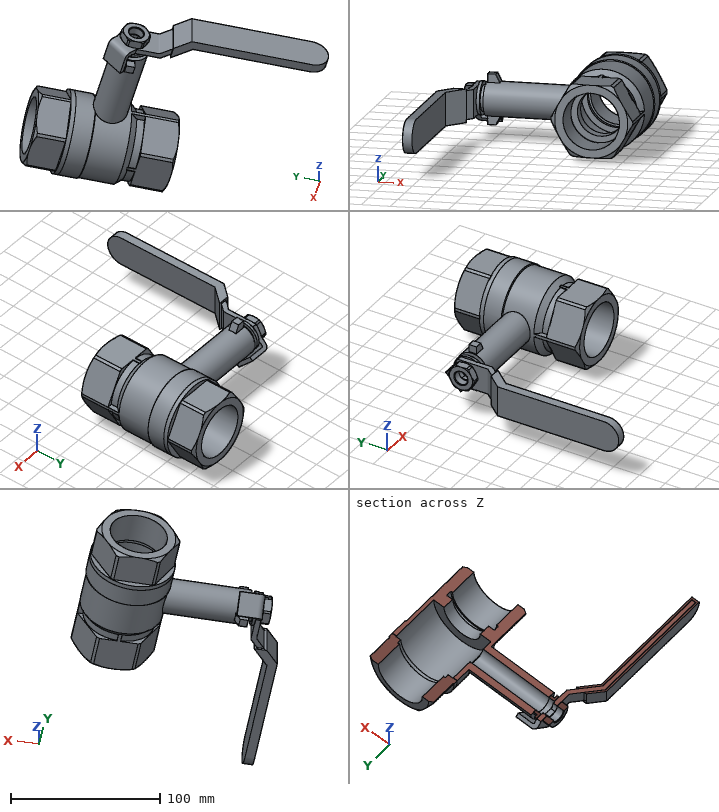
import cadquery as cq
import math


BODY_HALF_LENGTH = 48.8
BODY_DIAMETER = 56.5
COLLAR_DIAMETER = 58.0
COLLAR_START_Y = 10.5
COLLAR_BEVEL = 0.5
CAP_JOINT_Y = 24.0
CAP_FLANGE_THICKNESS = 3.2
CONE_START_Y = -14.8
CONE_END_Y = -19.3
WAIST_DIAMETER = 49.0
BODY_HEX_START_Y = -24.5
HEX_FLATS = 50.0
HEX_FACE_DIAMETER = 50.5
HEX_CHAMFER_ANGLE = 30.0
RIB_WIDTH = 2.5
PASSAGE_DIAMETER = 32.0
SOCKET_DIAMETER = 39.0
SOCKET_DEPTH = 21.8
RELIEF_DIAMETER = 42.0
RELIEF_WIDTH = 4.0
CAVITY_DIAMETER = 50.5
CAVITY_START_Y = -14.3

NECK_DIAMETER = 24.0
NECK_END_X = -84.0
SPINDLE_BORE = 13.0
LUG_WIDTH = 5.9
LUG_HEIGHT = 17.5
LUG_START_X = -83.2
LUG_TOP_END_X = -77.6
LUG_FOOT_END_X = -74.8

BUSHING_DIAMETER = 18.0
BUSHING_GAP = 2.7
BUSHING_FLANGE_DIAMETER = 23.0
BUSHING_FLANGE_THICKNESS = 2.1
HANDLE_THICKNESS = 3.8
NUT_THICKNESS = 5.9
NUT_FLATS = 18.0
NUT_DIAMETER = 20.0
NUT_CHAMFER_ANGLE = 30.0
NUT_HOLE = 10.0
NUT_HOLE_CHAMFER = 0.5

HANDLE_WIDTH = 20.0
HEAD_CORNER_Y = 6.3
HEAD_TOP_Y = 11.6
HANDLE_HOLE_DIAMETER = 10.0
HANDLE_HOLE_FLATS = 8.2
UPPER_BEND_Y = -18.2
LOWER_BEND_Y = -36.7
BEND_INNER_RADIUS = 1.6
TAB_WIDTH = 16.5
TAB_REACH = 15.7
TAB_THICKNESS = 3.2
TAB_END_X = -75.1
TAB_ANGLE = 45.0
FOLD_OUTER_RADIUS = 4.0
FOLD_INNER_RADIUS = 0.9
GRIP_WALL = 1.5
GRIP_SIDE_WALL = 1.6
GRIP_START_Y = -25.0
GRIP_LEFT_X = -110.0
GRIP_END_Y = -130.0

BUSHING_FLANGE_X = NECK_END_X - BUSHING_GAP
HANDLE_INNER_X = BUSHING_FLANGE_X - BUSHING_FLANGE_THICKNESS
HANDLE_OUTER_X = HANDLE_INNER_X - HANDLE_THICKNESS
HANDLE_MIDDLE_X = (HANDLE_INNER_X + HANDLE_OUTER_X) / 2
GRIP_THICKNESS = HANDLE_THICKNESS + 2 * GRIP_WALL
GRIP_WIDTH = HANDLE_WIDTH + 2 * GRIP_SIDE_WALL
GRIP_MIDDLE_X = GRIP_LEFT_X + GRIP_THICKNESS / 2
HANDLE_END_Y = GRIP_END_Y + GRIP_SIDE_WALL


def rod_y(diameter, start, end):
    """Cylinder on the Y axis between two Y positions."""
    plane = cq.Workplane("XZ", origin=(0, start, 0))
    return plane.circle(diameter / 2).extrude(start - end)


def rod_x(diameter, start, end):
    """Cylinder on the X axis between two X positions."""
    return cq.Workplane("YZ", origin=(start, 0, 0)).circle(diameter / 2).extrude(end - start)


def turned_y(points):
    """Solid of revolution about the Y axis from (radius, y) points."""
    return cq.Workplane("XY").polyline(points).close().revolve(360, (0, 0, 0), (0, 1, 0))


def hex_corner_diameter(flats):
    return flats / math.cos(math.radians(30))


def hex_prism_y(start, end):
    plane = cq.Workplane("XZ", origin=(0, start, 0))
    return plane.polygon(6, hex_corner_diameter(HEX_FLATS)).extrude(start - end)


def hex_end(start, end):
    """Socket hexagon with rounded corners, chamfered around its outer end."""
    outer = BODY_DIAMETER / 2
    face = HEX_FACE_DIAMETER / 2
    drop = (outer - face) * math.tan(math.radians(HEX_CHAMFER_ANGLE))
    chamfer_y = end - math.copysign(drop, end)
    envelope = turned_y([(0, start), (outer, start), (outer, chamfer_y), (face, end), (0, end)])
    return hex_prism_y(start, end).intersect(envelope)


def socket(end):
    """Socket bore running inward from an end of the valve to a wider thread relief."""
    inward = -math.copysign(1, end)
    bore_end = end + inward * SOCKET_DEPTH
    relief_end = bore_end + inward * RELIEF_WIDTH
    return rod_y(SOCKET_DIAMETER, end, bore_end).union(rod_y(RELIEF_DIAMETER, bore_end, relief_end))


def waist_ribs():
    """Four ribs around the waist, bounded outside by the socket hexagon."""
    length = CONE_START_Y - BODY_HEX_START_Y
    middle = (CONE_START_Y + BODY_HEX_START_Y) / 2
    flat = cq.Workplane("XY").box(BODY_DIAMETER, length, RIB_WIDTH)
    upright = cq.Workplane("XY").box(RIB_WIDTH, length, BODY_DIAMETER)
    cross = flat.union(upright).translate((0, middle, 0))
    limit = hex_prism_y(BODY_HEX_START_Y, CONE_START_Y)
    return cross.intersect(limit).intersect(rod_y(BODY_DIAMETER, BODY_HEX_START_Y, CONE_START_Y))


def stop_lugs():
    """Two lugs on opposite sides of the neck, each sloping down to it."""
    foot = NECK_DIAMETER / 2
    root = (NECK_DIAMETER + SPINDLE_BORE) / 4
    slope = (LUG_FOOT_END_X - LUG_TOP_END_X) / (LUG_HEIGHT - foot)
    outline = [
        (LUG_START_X, root),
        (LUG_START_X, LUG_HEIGHT),
        (LUG_TOP_END_X, LUG_HEIGHT),
        (LUG_FOOT_END_X + (foot - root) * slope, root),
    ]
    lug = cq.Workplane("XZ").polyline(outline).close().extrude(LUG_WIDTH / 2, both=True)
    return lug.union(lug.mirror("XY"))


def make_body():
    radius = BODY_DIAMETER / 2
    collar = COLLAR_DIAMETER / 2
    waist = WAIST_DIAMETER / 2
    shell = turned_y([
        (0, BODY_HEX_START_Y),
        (waist, BODY_HEX_START_Y),
        (waist, CONE_END_Y),
        (radius, CONE_START_Y),
        (radius, COLLAR_START_Y - COLLAR_BEVEL),
        (collar, COLLAR_START_Y),
        (collar, CAP_JOINT_Y),
        (0, CAP_JOINT_Y),
    ])
    body = shell.union(waist_ribs()).union(hex_end(BODY_HEX_START_Y, -BODY_HALF_LENGTH))
    body = body.union(rod_x(NECK_DIAMETER, NECK_END_X, 0)).union(stop_lugs())
    body = body.cut(rod_y(PASSAGE_DIAMETER, -BODY_HALF_LENGTH, CAP_JOINT_Y))
    body = body.cut(rod_y(CAVITY_DIAMETER, CAVITY_START_Y, CAP_JOINT_Y))
    body = body.cut(socket(-BODY_HALF_LENGTH))
    return body.cut(rod_x(SPINDLE_BORE, NECK_END_X, 0))


def make_cap():
    flange_end = CAP_JOINT_Y + CAP_FLANGE_THICKNESS
    flange = rod_y(COLLAR_DIAMETER, CAP_JOINT_Y, flange_end)
    cap = flange.union(hex_end(flange_end, BODY_HALF_LENGTH))
    cap = cap.cut(rod_y(PASSAGE_DIAMETER, CAP_JOINT_Y, BODY_HALF_LENGTH))
    return cap.cut(socket(BODY_HALF_LENGTH))


def make_bushing():
    flange = rod_x(BUSHING_FLANGE_DIAMETER, HANDLE_INNER_X, BUSHING_FLANGE_X)
    bushing = flange.union(rod_x(BUSHING_DIAMETER, BUSHING_FLANGE_X, NECK_END_X))
    return bushing.cut(rod_x(SPINDLE_BORE, HANDLE_INNER_X, NECK_END_X))


def bent_strip(thickness, end_y):
    """Side profile of the handle, thickened about its bent centre line."""
    half = thickness / 2
    bend = math.atan2(HANDLE_MIDDLE_X - GRIP_MIDDLE_X, UPPER_BEND_Y - LOWER_BEND_Y)
    miter = half * math.tan(bend / 2)
    outline = [
        (HANDLE_MIDDLE_X - half, 0),
        (HANDLE_MIDDLE_X - half, UPPER_BEND_Y + miter),
        (GRIP_MIDDLE_X - half, LOWER_BEND_Y + miter),
        (GRIP_MIDDLE_X - half, end_y),
        (GRIP_MIDDLE_X + half, end_y),
        (GRIP_MIDDLE_X + half, LOWER_BEND_Y - miter),
        (HANDLE_MIDDLE_X + half, UPPER_BEND_Y - miter),
        (HANDLE_MIDDLE_X + half, 0),
    ]
    return cq.Workplane("XY").polyline(outline).close().extrude(GRIP_WIDTH, both=True)


def round_ended(width, start_y, end_y):
    """Bar along Y with a half-round free end, deep enough in X to trim a bent strip."""
    half = width / 2
    bar = (
        cq.Workplane("YZ", origin=(GRIP_LEFT_X, 0, 0))
        .moveTo(start_y, half)
        .lineTo(end_y + half, half)
        .threePointArc((end_y, 0), (end_y + half, -half))
        .lineTo(start_y, -half)
        .close()
    )
    return bar.extrude(HANDLE_INNER_X - GRIP_LEFT_X)


def handle_arm():
    strip = bent_strip(HANDLE_THICKNESS, HANDLE_END_Y)
    upper_bend = cq.selectors.NearestToPointSelector((HANDLE_OUTER_X, UPPER_BEND_Y, 0))
    strip = strip.edges("|Z").edges(upper_bend).fillet(BEND_INNER_RADIUS)
    return strip.intersect(round_ended(HANDLE_WIDTH, 0, HANDLE_END_Y))


def handle_head():
    """Top of the handle around its hole, with one corner cut off down to the stop tab."""
    half = HANDLE_WIDTH / 2
    tab_angle = math.radians(TAB_ANGLE)
    tab_edge_z = (TAB_WIDTH / 2 - HEAD_TOP_Y * math.sin(tab_angle)) / math.cos(tab_angle)
    outline = [(0, 0), (0, half), (HEAD_CORNER_Y, half), (HEAD_TOP_Y, tab_edge_z)]
    plane = cq.Workplane("YZ", origin=(HANDLE_OUTER_X, 0, 0))
    return plane.polyline(outline).close().extrude(HANDLE_THICKNESS)


def stop_tab():
    """Tab on the head, folded over the neck to meet the stop lugs."""
    wall_start = TAB_REACH - TAB_THICKNESS
    outline = [
        (HANDLE_OUTER_X, 0),
        (HANDLE_OUTER_X, TAB_REACH),
        (TAB_END_X, TAB_REACH),
        (TAB_END_X, wall_start),
        (HANDLE_INNER_X, wall_start),
        (HANDLE_INNER_X, 0),
    ]
    tab = cq.Workplane("XY").polyline(outline).close().extrude(TAB_WIDTH / 2, both=True)
    fold = cq.selectors.NearestToPointSelector((HANDLE_OUTER_X, TAB_REACH, 0))
    inner_fold = cq.selectors.NearestToPointSelector((HANDLE_INNER_X, wall_start, 0))
    tab = tab.edges(fold).fillet(FOLD_OUTER_RADIUS).edges(inner_fold).fillet(FOLD_INNER_RADIUS)
    return tab.rotate((0, 0, 0), (1, 0, 0), -TAB_ANGLE)


def make_handle():
    handle = handle_arm().union(handle_head()).union(stop_tab())
    hole = rod_x(HANDLE_HOLE_DIAMETER, HANDLE_OUTER_X, HANDLE_INNER_X)
    flats = cq.Workplane("XY").box(HANDLE_THICKNESS, HANDLE_HOLE_DIAMETER, HANDLE_HOLE_FLATS)
    return handle.cut(hole.intersect(flats.translate((HANDLE_MIDDLE_X, 0, 0))))


def make_grip(handle):
    """Sleeve around the lower part of the handle."""
    outside = bent_strip(GRIP_THICKNESS, GRIP_END_Y)
    grip = outside.intersect(round_ended(GRIP_WIDTH, GRIP_START_Y, GRIP_END_Y))
    return grip.cut(handle)


def make_nut():
    start = HANDLE_OUTER_X - NUT_THICKNESS
    plane = cq.Workplane("YZ", origin=(start, 0, 0))
    prism = plane.polygon(6, hex_corner_diameter(NUT_FLATS)).extrude(NUT_THICKNESS)
    outer = NUT_DIAMETER / 2
    face = NUT_FLATS / 2
    drop = (outer - face) * math.tan(math.radians(NUT_CHAMFER_ANGLE))
    envelope = (
        cq.Workplane("XY")
        .polyline([
            (start, 0),
            (start, face),
            (start + drop, outer),
            (HANDLE_OUTER_X - drop, outer),
            (HANDLE_OUTER_X, face),
            (HANDLE_OUTER_X, 0),
        ])
        .close()
        .revolve(360, (0, 0, 0), (1, 0, 0))
    )
    nut = prism.intersect(envelope).cut(rod_x(NUT_HOLE, start, HANDLE_OUTER_X))
    hole_rim = cq.selectors.RadiusNthSelector(0)
    return nut.faces("<X").edges(hole_rim).chamfer(NUT_HOLE_CHAMFER)


body = make_body()
cap = make_cap()
bushing = make_bushing()
handle = make_handle()
grip = make_grip(handle)
nut = make_nut()

result = cq.Compound.makeCompound(
    [body.val(), cap.val(), bushing.val(), handle.val(), grip.val(), nut.val()]
)